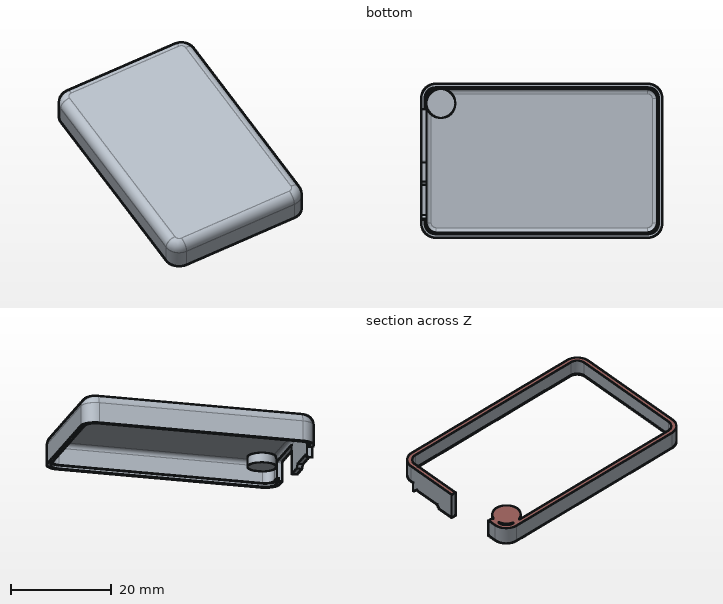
import cadquery as cq

length = 47.9
width = 30.6
shell_height = 6.15
corner_radius = 2.95
top_round = 2.0
wall = 1.1
inner_corner_radius = corner_radius - wall
inner_top_round = top_round - wall
cavity_height = shell_height - wall

rebate_height = 0.6
rebate_depth = 0.4

opening_y_min = -10.3
opening_y_max = 0.4
opening_height = shell_height - top_round
opening_corner_radius = 0.3

tab_y_max = 11.75
tab_depth = 2.05
tab_notch_depth = 0.75
tab_notch_y_min = 4.05
tab_notch_y_max = 11.45
tab_notch_slope_run = 0.7

post_diameter = 5.75
post_inset = 3.95
post_bottom = 3.0
post_x = -length / 2 + post_inset
post_y = -width / 2 + post_inset


def rounded_block(size_x, size_y, height, edge_radius):
    """Block standing on Z = 0 with rounded vertical edges."""
    block = cq.Workplane("XY").box(size_x, size_y, height, centered=(True, True, False))
    return block.edges("|Z").fillet(edge_radius)


def make_shell():
    outer = rounded_block(length, width, shell_height, corner_radius).faces(">Z").edges().fillet(top_round)
    inner_length = length - 2 * wall
    inner_width = width - 2 * wall
    cavity = rounded_block(inner_length, inner_width, cavity_height, inner_corner_radius)
    cavity = cavity.faces(">Z").edges().fillet(inner_top_round)
    rebate = rounded_block(
        inner_length + 2 * rebate_depth,
        inner_width + 2 * rebate_depth,
        rebate_height,
        inner_corner_radius + rebate_depth,
    )
    return outer.cut(cavity).cut(rebate)


def make_opening():
    opening = cq.Workplane("XY").box(
        2 * wall, opening_y_max - opening_y_min, opening_height, centered=(True, False, False)
    )
    opening = opening.edges("|X and >Z").fillet(opening_corner_radius)
    return opening.translate((-length / 2, opening_y_min, 0))


def make_tab():
    """Full-thickness tab that also fills the rim rebate above it."""
    notch_bottom = -tab_depth + tab_notch_depth
    outline = [
        (opening_y_max, rebate_height),
        (opening_y_max, -tab_depth),
        (tab_notch_y_min, -tab_depth),
        (tab_notch_y_min + tab_notch_slope_run, notch_bottom),
        (tab_notch_y_max - tab_notch_slope_run, notch_bottom),
        (tab_notch_y_max, -tab_depth),
        (tab_y_max, -tab_depth),
        (tab_y_max, rebate_height),
    ]
    return cq.Workplane("YZ", origin=(-length / 2, 0, 0)).polyline(outline).close().extrude(wall)


def make_post():
    root = cavity_height + wall / 2
    return (
        cq.Workplane("XY", origin=(post_x, post_y, post_bottom))
        .circle(post_diameter / 2)
        .extrude(root - post_bottom)
    )


result = make_shell().cut(make_opening()).union(make_tab()).union(make_post())